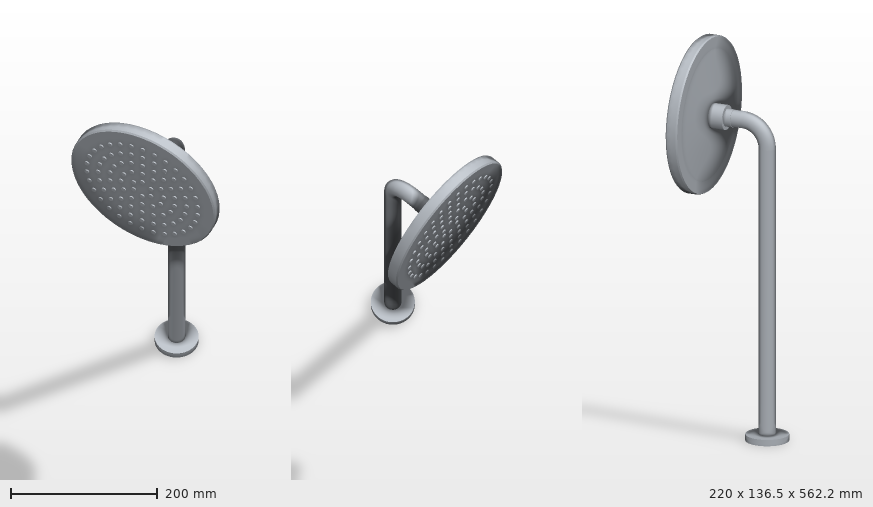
import cadquery as cq

AXIS_HEIGHT = 451.5
HEAD_TILT = 1.0

FLANGE_DIAMETER = 60.0
FLANGE_THICKNESS = 9.0

TUBE_DIAMETER = 23.5
BEND_RADIUS = 36.5
OUTLET_LENGTH = 13.5

COLLAR_DIAMETER = 25.0
COLLAR_LENGTH = 10.0
COLLAR_INSERTION = 1.5
CONNECTOR_DIAMETER = 35.0
CONNECTOR_LENGTH = 21.0

HEAD_DIAMETER = 220.0
CONE_DIAMETER = 184.0
CONE_HEIGHT = 5.0
HEAD_THICKNESS = 17.5
BACK_CHAMFER_WIDTH = 1.0
FACE_CHAMFER_WIDTH = 1.5
CHAMFER_DEPTH = 2.0

NOZZLE_DIAMETER = 7.0
NOZZLE_HEIGHT = 1.5
NOZZLE_RINGS = 5
NOZZLES_PER_STEP = 6
FIRST_RING_RADIUS = 15.0
RING_SPACING = 17.5
FIRST_NOZZLE_ANGLE = 90

OUTLET_START = BEND_RADIUS
COLLAR_START = OUTLET_START + OUTLET_LENGTH
CONNECTOR_START = COLLAR_START + COLLAR_LENGTH
HEAD_START = CONNECTOR_START + CONNECTOR_LENGTH
BACK = HEAD_START + CONE_HEIGHT
RIM_BACK = BACK + CHAMFER_DEPTH
FACE = BACK + HEAD_THICKNESS
RIM_FRONT = FACE - CHAMFER_DEPTH

RISER_TOP = AXIS_HEIGHT - BEND_RADIUS


def outlet_cylinder(diameter, start, length):
    """Cylinder on the outlet axis, running toward -Y from a station."""
    plane = cq.Workplane("XZ", origin=(0, -start, AXIS_HEIGHT))
    return plane.circle(diameter / 2).extrude(length)


def tilted(body):
    """Turn a body upward about the back of the connector."""
    pivot = (0, -CONNECTOR_START, AXIS_HEIGHT)
    pivot_end = (1, -CONNECTOR_START, AXIS_HEIGHT)
    return body.rotate(pivot, pivot_end, -HEAD_TILT)


def make_flange():
    """Floor ring with a through hole for the riser."""
    ring = cq.Workplane("XY").circle(FLANGE_DIAMETER / 2).circle(TUBE_DIAMETER / 2)
    return ring.extrude(FLANGE_THICKNESS)


def make_riser():
    """Vertical bar from the floor, through the flange, up to the elbow."""
    return cq.Workplane("XY").circle(TUBE_DIAMETER / 2).extrude(RISER_TOP)


def make_elbow():
    """Quarter bend from the vertical riser to the horizontal outlet."""
    section = cq.Workplane("XY", origin=(0, 0, RISER_TOP)).circle(TUBE_DIAMETER / 2)
    return section.revolve(90, (0, -BEND_RADIUS, 0), (1, -BEND_RADIUS, 0))


def make_outlet():
    return outlet_cylinder(TUBE_DIAMETER, OUTLET_START, OUTLET_LENGTH)


def make_collar():
    return outlet_cylinder(COLLAR_DIAMETER, COLLAR_START, COLLAR_LENGTH + COLLAR_INSERTION)


def make_connector(collar):
    """Tilted sleeve with a recess that seats the end of the collar."""
    sleeve = outlet_cylinder(CONNECTOR_DIAMETER, CONNECTOR_START, CONNECTOR_LENGTH)
    return tilted(sleeve).cut(collar)


def make_head_disc():
    """Disc with chamfered edges and a shallow cone rising from its back to the connector."""
    head_radius = HEAD_DIAMETER / 2
    back_radius = head_radius - BACK_CHAMFER_WIDTH
    face_radius = head_radius - FACE_CHAMFER_WIDTH
    profile = (
        cq.Workplane("XY", origin=(0, 0, AXIS_HEIGHT))
        .moveTo(0, -HEAD_START)
        .lineTo(CONNECTOR_DIAMETER / 2, -HEAD_START)
        .lineTo(CONE_DIAMETER / 2, -BACK)
        .lineTo(back_radius, -BACK)
        .lineTo(head_radius, -RIM_BACK)
        .lineTo(head_radius, -RIM_FRONT)
        .lineTo(face_radius, -FACE)
        .lineTo(0, -FACE)
        .close()
    )
    return profile.revolve(360, (0, 0, 0), (0, 1, 0))


def make_head():
    """Head disc with its rings of nozzles standing on the face."""
    head = make_head_disc()
    for ring in range(NOZZLE_RINGS):
        ring_radius = FIRST_RING_RADIUS + ring * RING_SPACING
        nozzle_count = NOZZLES_PER_STEP * (ring + 1)
        nozzles = (
            cq.Workplane("XZ", origin=(0, -FACE, AXIS_HEIGHT))
            .polarArray(ring_radius, FIRST_NOZZLE_ANGLE, 360, nozzle_count)
            .circle(NOZZLE_DIAMETER / 2)
            .extrude(NOZZLE_HEIGHT)
        )
        head = head.union(nozzles)
    return tilted(head)


flange = make_flange()
riser = make_riser()
elbow = make_elbow()
outlet = make_outlet()
collar = make_collar()
connector = make_connector(collar)
head = make_head()

result = cq.Compound.makeCompound([
    flange.val(),
    riser.val(),
    elbow.val(),
    outlet.val(),
    collar.val(),
    connector.val(),
    head.val(),
])